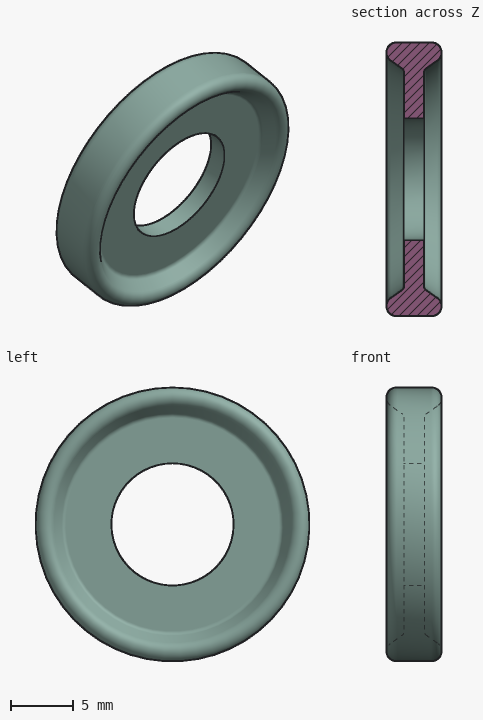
import cadquery as cq
import math

width = 4.4
outer_radius = 10.9
bore_radius = 4.85
web_thickness = 1.6
rim_round = 0.8
corner_round = 0.4
wall_angle = math.radians(35)

half_width = width / 2
half_web = web_thickness / 2

rim_x = half_width - rim_round
rim_radius = outer_radius - rim_round
corner_x = half_web + corner_round
corner_radius = (
    rim_radius
    - (rim_round + corner_round) / math.cos(wall_angle)
    - (rim_x - corner_x) * math.tan(wall_angle)
)

rim_wall_direction = wall_angle - math.pi / 2
corner_wall_direction = wall_angle + math.pi / 2
corner_middle_direction = (corner_wall_direction + math.pi) / 2


def rim_point(direction):
    """Point on the +X rim round, with the direction measured from +X."""
    return (
        rim_x + rim_round * math.cos(direction),
        rim_radius + rim_round * math.sin(direction),
    )


def corner_point(direction):
    """Point on the +X corner fillet, with the direction measured from +X."""
    return (
        corner_x + corner_round * math.cos(direction),
        corner_radius + corner_round * math.sin(direction),
    )


def mirrored(point):
    """The matching point on the -X side."""
    return (-point[0], point[1])


def ring_section():
    """Cross-section of the ring above its axis, symmetric about X = 0."""
    web_bore = (half_web, bore_radius)
    web_edge = (half_web, corner_radius)
    corner_middle = corner_point(corner_middle_direction)
    corner_end = corner_point(corner_wall_direction)
    rim_start = rim_point(rim_wall_direction)
    rim_crest = (half_width, rim_radius)
    rim_end = (rim_x, outer_radius)

    return (
        cq.Workplane("XZ")
        .moveTo(*web_bore)
        .lineTo(*web_edge)
        .threePointArc(corner_middle, corner_end)
        .lineTo(*rim_start)
        .threePointArc(rim_crest, rim_end)
        .lineTo(*mirrored(rim_end))
        .threePointArc(mirrored(rim_crest), mirrored(rim_start))
        .lineTo(*mirrored(corner_end))
        .threePointArc(mirrored(corner_middle), mirrored(web_edge))
        .lineTo(*mirrored(web_bore))
        .close()
    )


result = ring_section().revolve(360, (0, 0, 0), (1, 0, 0))